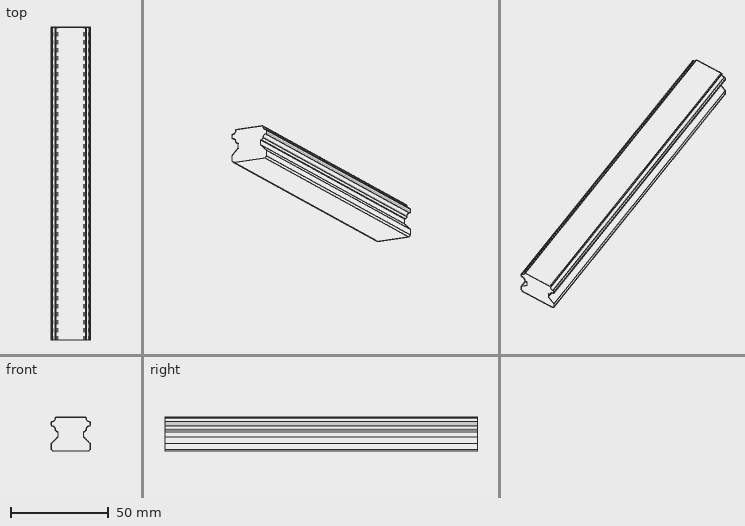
import cadquery as cq

length = 160.0
width = 20.0
height = 17.5

base_chamfer = 1.0

waist_width = 13.1
waist_bottom = 7.4
waist_top = 10.0

head_width = 16.0
crown_chamfer = 0.5
ridge_top = 15.2
ridge_bottom = 12.8
ridge_round = 0.6
groove_radius = 1.5
lip_chamfer = 1.0

half_width = width / 2
half_waist = waist_width / 2
half_head = head_width / 2
base_side_top = waist_bottom - (half_width - half_waist)
groove_outer = half_head + groove_radius


def half_profile():
    """Right half of the cross-section, closed along the middle plane."""
    return (
        cq.Workplane("XZ")
        .moveTo(0, 0)
        .lineTo(half_width - base_chamfer, 0)
        .lineTo(half_width, base_chamfer)
        .lineTo(half_width, base_side_top)
        .lineTo(half_waist, waist_bottom)
        .lineTo(half_waist, waist_top)
        .lineTo(half_head - lip_chamfer, waist_top)
        .lineTo(half_head, waist_top + lip_chamfer)
        .lineTo(half_head, ridge_bottom - groove_radius)
        .radiusArc((groove_outer, ridge_bottom), groove_radius)
        .lineTo(half_width - ridge_round, ridge_bottom)
        .radiusArc((half_width, ridge_bottom + ridge_round), -ridge_round)
        .lineTo(half_width, ridge_top - ridge_round)
        .radiusArc((half_width - ridge_round, ridge_top), -ridge_round)
        .lineTo(groove_outer, ridge_top)
        .radiusArc((half_head, ridge_top + groove_radius), groove_radius)
        .lineTo(half_head, height - crown_chamfer)
        .lineTo(half_head - crown_chamfer, height)
        .lineTo(0, height)
        .close()
    )


half_rail = half_profile().extrude(length / 2, both=True)
result = half_rail.union(half_rail.mirror("YZ")).clean()